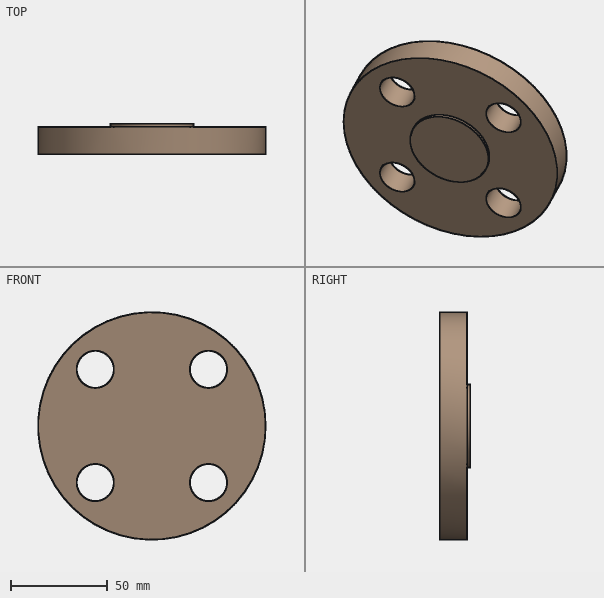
import cadquery as cq

flange_diameter = 117.4
total_thickness = 15.8
raised_face_height = 1.6
raised_face_diameter = 43.0
disc_thickness = total_thickness - raised_face_height

bolt_hole_diameter = 19.0
bolt_circle_diameter = 82.5
bolt_count = 4
first_bolt_angle = 45.0


def cylinder_along_y(diameter, start_y, length):
    """Cylinder on the flange axis, growing from start_y toward +Y."""
    plane = cq.Workplane("XZ", origin=(0, start_y, 0))
    return plane.circle(diameter / 2).extrude(-length)


def bolt_holes():
    """Cutters for the through holes, evenly spaced on the bolt circle."""
    return (
        cq.Workplane("XZ")
        .polarArray(bolt_circle_diameter / 2, first_bolt_angle, 360, bolt_count)
        .circle(bolt_hole_diameter / 2)
        .extrude(-disc_thickness)
    )


disc = cylinder_along_y(flange_diameter, 0, disc_thickness)
raised_face = cylinder_along_y(raised_face_diameter, disc_thickness, raised_face_height)
result = disc.union(raised_face).cut(bolt_holes())